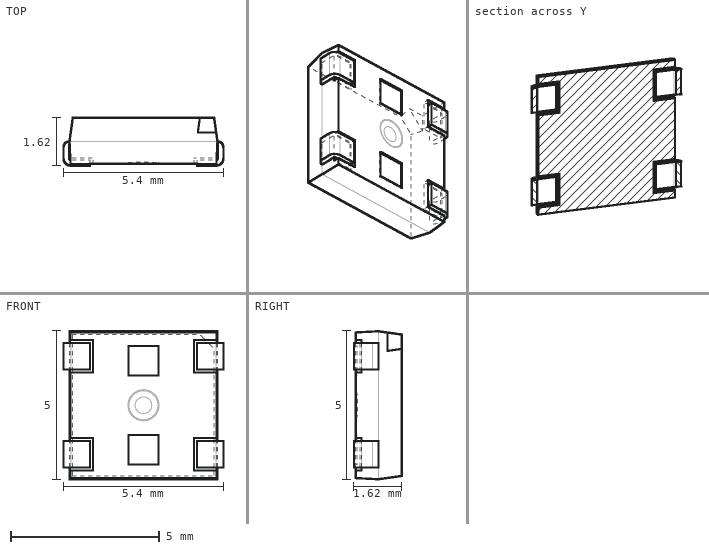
import cadquery as cq
import math

housing_width = 5.0
front_depth = 0.8
back_depth = 0.76
front_draft = 8.0
back_draft = 3.0

corner_leg = 0.71
corner_depth = 0.49

lead_span = 5.4
lead_thickness = (lead_span - housing_width) / 2
lead_width = 0.9
lead_center_z = 1.65
lead_standoff = 0.06
lead_tip_x = 1.8
lead_shoulder_radius = lead_thickness
lead_heel_radius = 0.25

pocket_clearance = 0.1
pocket_depth = lead_thickness

recess_side = 1.0
recess_center_z = 1.5
recess_depth = 0.05
dimple_mouth_radius = 0.525
dimple_bowl_radius = 0.49
dimple_floor_radius = 0.28
dimple_rim_depth = 0.01
dimple_depth = 0.06

SIDES = (-1, 1)
back_y = -back_depth


def drafted_half(direction, depth, draft):
    """Tapered half of the housing, growing from the parting plane along +Y (1) or -Y (-1)."""
    plane = cq.Plane(origin=(0, 0, 0), xDir=(1, 0, 0), normal=(0, direction, 0))
    return cq.Workplane(plane).rect(housing_width, housing_width).extrude(depth, taper=draft)


def mounting_face_box(x_min, x_max, center_z, size_z, depth):
    """Block that cuts a rectangular recess of the given depth into the mounting face."""
    return (
        cq.Workplane("XY")
        .box(x_max - x_min, depth, size_z)
        .translate(((x_min + x_max) / 2, back_y + depth / 2, center_z))
    )


def corner_bevel():
    """Triangular prism that removes the +X +Z corner next to the light-emitting face."""
    half = housing_width / 2
    return (
        cq.Workplane("XZ", origin=(0, front_depth, 0))
        .moveTo(half - corner_leg, half)
        .lineTo(half, half)
        .lineTo(half, half - corner_leg)
        .close()
        .extrude(corner_depth)
    )


def dimple():
    """Round dimple: a narrow conical rim, then a bowl that runs tangent into a flat floor."""
    bowl_run = dimple_bowl_radius - dimple_floor_radius
    bowl_rise = dimple_depth - dimple_rim_depth
    arc_radius = (bowl_run**2 + bowl_rise**2) / (2 * bowl_rise)
    half_angle = math.atan2(bowl_rise, bowl_run)
    floor_y = back_y + dimple_depth
    arc_middle = (
        dimple_floor_radius + arc_radius * math.sin(half_angle),
        floor_y - arc_radius * (1 - math.cos(half_angle)),
    )
    return (
        cq.Workplane("XY")
        .moveTo(0, back_y)
        .lineTo(dimple_mouth_radius, back_y)
        .lineTo(dimple_bowl_radius, back_y + dimple_rim_depth)
        .threePointArc(arc_middle, (dimple_floor_radius, floor_y))
        .lineTo(0, floor_y)
        .close()
        .revolve(360, (0, 0, 0), (0, 1, 0))
    )


def build_housing():
    body = drafted_half(1, front_depth, front_draft).union(drafted_half(-1, back_depth, back_draft))
    body = body.cut(corner_bevel()).cut(dimple())

    pocket_inner_x = lead_tip_x - pocket_clearance
    pocket_width = lead_width + 2 * pocket_clearance
    for side_z in SIDES:
        body = body.cut(
            mounting_face_box(
                -recess_side / 2, recess_side / 2, side_z * recess_center_z, recess_side, recess_depth
            )
        )
        for side_x in SIDES:
            x_min, x_max = sorted((side_x * pocket_inner_x, side_x * housing_width / 2))
            body = body.cut(
                mounting_face_box(x_min, x_max, side_z * lead_center_z, pocket_width, pocket_depth)
            )
    return body


def build_lead(side_x, side_z):
    """Lead on the given X side; its rounded shoulder starts at the parting plane."""
    outer_x = lead_span / 2
    inner_x = outer_x - lead_thickness
    foot_bottom = back_y - lead_standoff
    foot_top = foot_bottom + lead_thickness
    heel_inner_radius = lead_heel_radius - lead_thickness
    diagonal = math.sqrt(0.5)

    shoulder_center_x = outer_x - lead_shoulder_radius
    heel_center_x = outer_x - lead_heel_radius
    heel_center_y = foot_bottom + lead_heel_radius

    lead = (
        cq.Workplane("XY", origin=(0, 0, lead_center_z * side_z - lead_width / 2))
        .moveTo(shoulder_center_x, 0)
        .threePointArc(
            (
                shoulder_center_x + lead_shoulder_radius * diagonal,
                -lead_shoulder_radius * (1 - diagonal),
            ),
            (outer_x, -lead_shoulder_radius),
        )
        .lineTo(outer_x, heel_center_y)
        .threePointArc(
            (
                heel_center_x + lead_heel_radius * diagonal,
                heel_center_y - lead_heel_radius * diagonal,
            ),
            (heel_center_x, foot_bottom),
        )
        .lineTo(lead_tip_x, foot_bottom)
        .lineTo(lead_tip_x, foot_top)
        .lineTo(heel_center_x, foot_top)
        .threePointArc(
            (
                heel_center_x + heel_inner_radius * diagonal,
                heel_center_y - heel_inner_radius * diagonal,
            ),
            (inner_x, heel_center_y),
        )
        .close()
        .extrude(lead_width)
    )
    return lead if side_x > 0 else lead.mirror("YZ")


housing = build_housing()
leads = [build_lead(side_x, side_z) for side_x in SIDES for side_z in SIDES]

result = cq.Compound.makeCompound([housing.val(), *[lead.val() for lead in leads]])